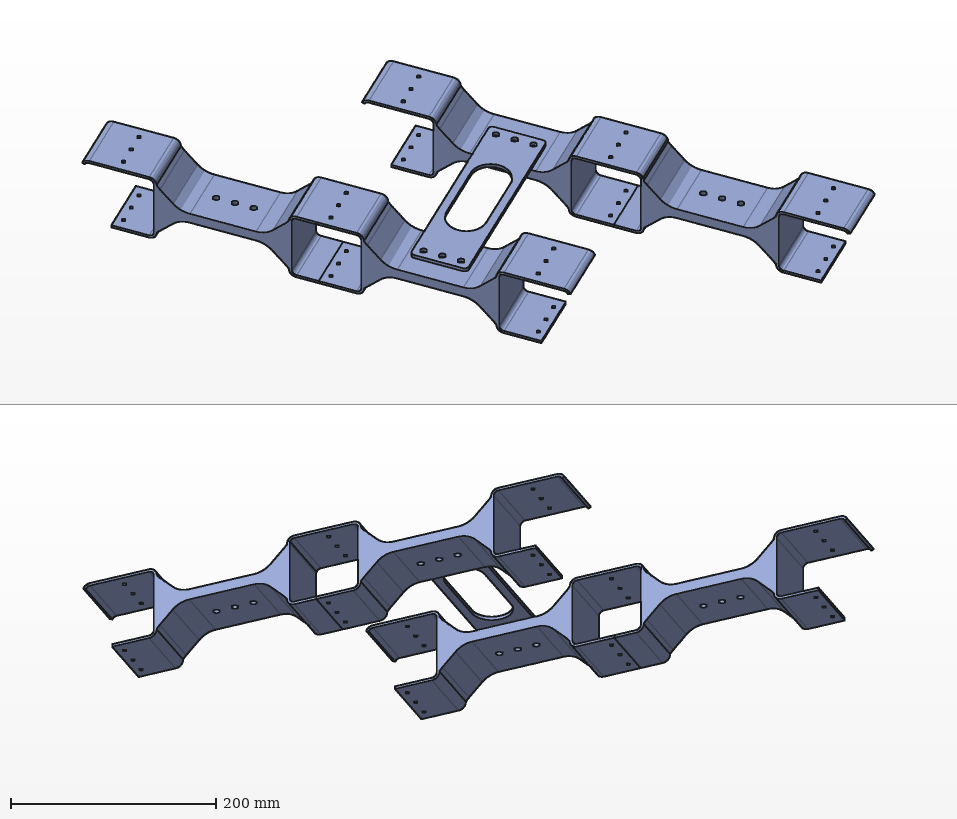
import cadquery as cq
import math

overall_length = 732.0
overall_width = 249.0
module_pitch = 218.0
rail_width = 63.0

module_height = 78.0
sheet = 3.0
bend_radius = 8.0
flange_flat = 63.0
flank_angle = 45.0
crease_angle = 57.0
strip_thickness = 12.0
hollow_radius = 25.0
flange_overlap = 8.0

hole_spacing = 20.0
top_hole_diameter = 3.6
bottom_hole_diameter = 3.4
strip_hole_diameter = 6.5

plate_width = 60.0
plate_length = 205.0
plate_thickness = 4.0
plate_corner_radius = 4.5
slot_width = 42.0
slot_length = 104.0

half_height = module_height / 2
half_strip = strip_thickness / 2
half_pitch = module_pitch / 2
half_box = flange_flat / 2 + bend_radius
half_flange = (overall_length - 3 * module_pitch) / 2
wall_x = half_pitch - half_box
box_x = half_pitch
lip_angle = math.degrees(math.acos((half_flange - flange_flat / 2) / bend_radius))
rail_y = (overall_width - rail_width) / 2


def arc_point(center, radius, angle):
    """Point on a circle in the XZ plane, with the angle in degrees from +x towards +z."""
    turn = math.radians(angle)
    return (center[0] + radius * math.cos(turn), center[1] + radius * math.sin(turn))


def web_quarter():
    """Solid web from the strip to the wall, in the quadrant of positive x and z."""
    bend_end = (wall_x, half_height - bend_radius)
    upper_center = arc_point(bend_end, hollow_radius, 90 + crease_angle)
    upper_mid = arc_point(upper_center, hollow_radius, (crease_angle + flank_angle) / 2 - 90)
    flank_top = arc_point(upper_center, hollow_radius, flank_angle - 90)

    lower_center_z = half_strip + hollow_radius
    flank_foot_z = arc_point((0, lower_center_z), hollow_radius, flank_angle - 90)[1]
    flank_foot_x = flank_top[0] - (flank_top[1] - flank_foot_z) / math.tan(math.radians(flank_angle))
    strip_end_x = flank_foot_x - hollow_radius * math.sin(math.radians(flank_angle))
    lower_mid = arc_point((strip_end_x, lower_center_z), hollow_radius, flank_angle / 2 - 90)
    return (
        cq.Workplane("XZ")
        .lineTo(0, half_strip)
        .lineTo(strip_end_x, half_strip)
        .threePointArc(lower_mid, (flank_foot_x, flank_foot_z))
        .lineTo(*flank_top)
        .threePointArc(upper_mid, bend_end)
        .lineTo(wall_x + sheet, bend_end[1])
        .lineTo(wall_x + sheet, 0)
        .close()
        .extrude(rail_width / 2, both=True)
    )


def bend(center_x, end_angle):
    """Sheet curving down from the top face at center_x to the given angle (90 is straight up)."""
    center = (center_x, half_height - bend_radius)
    inner_radius = bend_radius - sheet
    mid_angle = (90 + end_angle) / 2
    return (
        cq.Workplane("XZ")
        .moveTo(center_x, half_height)
        .threePointArc(
            arc_point(center, bend_radius, mid_angle), arc_point(center, bend_radius, end_angle)
        )
        .lineTo(*arc_point(center, inner_radius, end_angle))
        .threePointArc(
            arc_point(center, inner_radius, mid_angle), (center_x, half_height - sheet)
        )
        .close()
        .extrude(rail_width / 2, both=True)
    )


def flange(start_x, end_x):
    """Flat sheet just below the top face."""
    return (
        cq.Workplane("XY")
        .workplane(offset=half_height)
        .moveTo((start_x + end_x) / 2, 0)
        .rect(end_x - start_x, rail_width)
        .extrude(-sheet)
    )


def hole_row(diameter, height, points):
    return cq.Workplane("XY").pushPoints(points).circle(diameter / 2).extrude(height, both=True)


def row_along_x(y=0.0):
    return [(step * hole_spacing, y) for step in (-1, 0, 1)]


def row_along_y(x):
    return [(x, step * hole_spacing) for step in (-1, 0, 1)]


def half_module():
    """Right half of a module: web, top flange with its lip, and bottom flange."""
    wall_bend_x = box_x - flange_flat / 2
    lip_bend_x = box_x + flange_flat / 2
    web = web_quarter()
    top_holes = hole_row(top_hole_diameter, half_height, row_along_y(box_x))
    bottom_holes = hole_row(bottom_hole_diameter, half_height, row_along_y(box_x))
    top = (
        web.union(bend(wall_bend_x, 180))
        .union(flange(wall_bend_x, lip_bend_x))
        .union(bend(lip_bend_x, lip_angle))
        .cut(top_holes)
    )
    bottom = (
        web.union(bend(wall_bend_x, 180))
        .union(flange(wall_bend_x, box_x + flange_overlap))
        .cut(bottom_holes)
        .mirror("XY")
    )
    return top.union(bottom)


def full_module():
    half = half_module()
    strip_holes = hole_row(strip_hole_diameter, strip_thickness, row_along_x())
    return half.union(half.mirror("YZ")).cut(strip_holes)


def connecting_plate():
    bolt_points = row_along_x(rail_y) + row_along_x(-rail_y)
    blank = (
        cq.Workplane("XY")
        .workplane(offset=half_strip)
        .rect(plate_width, plate_length)
        .extrude(plate_thickness)
        .edges("|Z")
        .fillet(plate_corner_radius)
    )
    slot = cq.Workplane("XY").slot2D(slot_length, slot_width, 90).extrude(module_height)
    return blank.cut(slot).cut(hole_row(strip_hole_diameter, module_height, bolt_points))


inner_module = full_module().translate((0, -rail_y, 0))
outer_module = full_module().translate((-module_pitch, -rail_y, 0)).cut(inner_module)

modules = []
for turn in (0, 180):
    for module in (inner_module, outer_module):
        modules.append(module.rotate((0, 0, 0), (0, 0, 1), turn).val())

plate = connecting_plate()

result = cq.Compound.makeCompound([*modules, plate.val()])